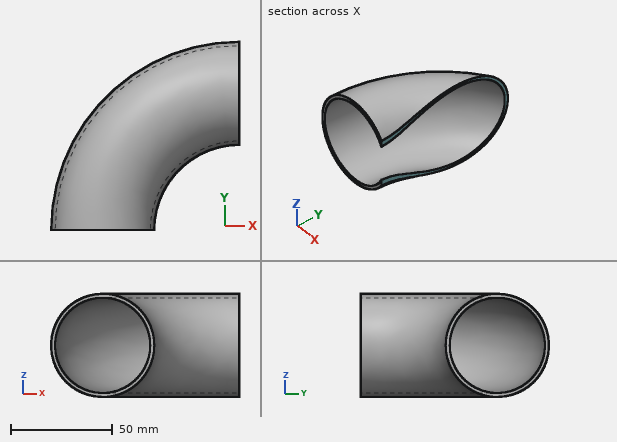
import cadquery as cq

OUTER_DIAMETER = 51.0
WALL_THICKNESS = 2.0
BEND_RADIUS = 67.5
BEND_ANGLE = 90.0

OUTER_RADIUS = OUTER_DIAMETER / 2
INNER_RADIUS = OUTER_RADIUS - WALL_THICKNESS


def pipe_elbow():
    """Revolve the pipe's ring section about a vertical axis.

    The first port is centred on the origin and faces -Y; the second faces +X.
    """
    ring_section = cq.Workplane("XZ").circle(OUTER_RADIUS).circle(INNER_RADIUS)
    axis_start = (BEND_RADIUS, 1)
    axis_end = (BEND_RADIUS, 0)
    return ring_section.revolve(BEND_ANGLE, axis_start, axis_end)


result = pipe_elbow()